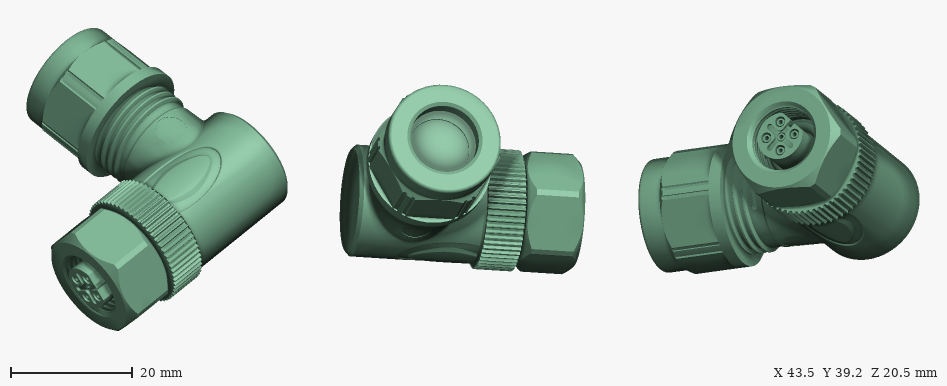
import cadquery as cq
import math


gland_face_x = -33.45
hex_start_x = -29.5
flange_start_x = -20.45
flange_end_x = -18.4
neck_step_x = -12.35
neck_cone_length = 0.35
flange_radius = 10.25
cap_radius = 9.42
cap_fillet = 0.5
hex_chamfer = flange_radius - cap_radius
neck_radius = 7.7
branch_radius = 7.9
branch_root_radius = 8.25

corner_land = 0.95
corner_groove_floor = 0.48
corner_groove_mouth = 0.8
corner_groove_depth = 0.25

entry_mouth_radius = 6.3
entry_radius = 5.75
entry_chamfer_depth = 0.35
entry_lip_depth = 2.85
entry_chamber_radius = 7.4
entry_chamber_depth = 5.2
seal_hole_radius = 5.1
seal_hole_depth = 0.25

gland_pitch = 1.5
gland_thread_radius = 8.4
gland_thread_start_x = -19.45
gland_thread_end_x = -13.65
gland_thread_base = 0.95
gland_thread_crest = 0.3

body_radius = 9.2
body_top_y = 9.42
body_bottom_y = -11.5
body_chamfer = 0.65
branch_fillet = 0.65
pad_x = -9.05
pad_radius = 2.5
pad_depth = 0.1
badge_recess_y = -7.75
badge_recess_half_length = 9.2
badge_recess_half_width = 5.3
badge_recess_narrowing = 1.3
badge_plate_y = -6.95
badge_plate_half_length = 6.4
badge_plate_half_width = 2.1
badge_depth = 0.25
badge_rim_fillet = 0.2
badge_plate_spread = 3.05
badge_reach = 2.15

knurl_start_y = -11.95
knurl_end_y = -18.25
knurl_radius = 10.0
knurl_root_radius = 9.55
knurl_count = 60
knurl_base = 0.65
knurl_tip = 0.17
upper_collar_radius = 8.9
lower_collar_radius = 6.7

nut_start_y = -18.65
nut_end_y = -28.3
nut_flats = 17.8
nut_corner_radius = 10.0
nut_chamfer = 1.3
nut_bore_radius = 5.5
nut_mouth_radius = 6.15
nut_bore_end_y = -20.85
nut_pitch = 1.0
nut_thread_radius = 6.0
nut_thread_base = 0.8
nut_thread_crest = 0.15

insert_face_y = -28.9
insert_radius = 4.0
insert_flat = 3.13
seal_ring_radius = 4.15
seal_ring_section = 0.82
contact_circle = 2.47
contact_mouth_radius = 0.9
centre_mouth_radius = 0.8
contact_radius = 0.65
contact_bore_radius = 0.4
contact_recess = 0.2
contact_depth = 1.75
cross_half_width = 0.48
cross_reach = 2.65
cross_fillet = 0.65
cross_depth = 0.5

overlap = 0.2
rim_tolerance = 0.005


def turned_x(points):
    """Solid turned about X from (x, radius) points."""
    return cq.Workplane("XY").polyline(points).close().revolve(360, (0, 0, 0), (1, 0, 0))


def turned_y(points):
    """Solid turned about Y from (radius, y) points."""
    return cq.Workplane("XY").polyline(points).close().revolve(360, (0, 0, 0), (0, 1, 0))


def across_corners(flats):
    """Corner-to-corner size of a hexagon from its size across flats."""
    return flats / math.cos(math.pi / 6)


def cylinder_x(radius, start, end):
    """Cylinder about X between two stations."""
    return cq.Workplane("YZ", origin=(start, 0, 0)).circle(radius).extrude(end - start)


def cylinder_y(radius, start, end):
    """Cylinder about Y between two stations."""
    return turned_y([(0, start), (radius, start), (radius, end), (0, end)])


def thread_ridge(root, crest_radius, base, crest, pitch, length):
    """Right-handed helical ridge rising along Z, starting on the +X side."""
    sunk_root = root - overlap / 2
    path = cq.Workplane(obj=cq.Wire.makeHelix(pitch, length, sunk_root))
    profile = [
        (sunk_root, -base / 2),
        (crest_radius, -crest / 2),
        (crest_radius, crest / 2),
        (sunk_root, base / 2),
    ]
    return cq.Workplane("XZ").polyline(profile).close().sweep(path, isFrenet=True)


def branch_cone(inset):
    """Gland branch widening slightly from the neck to the plug axis, shrunk by the inset."""
    start_x = neck_step_x + neck_cone_length
    start_radius = branch_radius - inset
    end_radius = branch_root_radius - inset
    return turned_x([(start_x, 0), (start_x, start_radius), (0, end_radius), (0, 0)])


def make_housing():
    """Plug body and gland branch, blended where they meet."""
    body = cylinder_y(body_radius, body_bottom_y, body_top_y)
    housing = body.union(branch_cone(0))
    seam = housing.edges().filter(lambda edge: edge.geomType() not in ("LINE", "CIRCLE"))
    housing = cq.Workplane(obj=seam.fillet(branch_fillet).val())
    return housing.faces(">Y").edges().chamfer(body_chamfer)


def make_pads():
    """Shallow round marks above and below the gland branch."""
    disc = cq.Workplane("XY").center(pad_x, 0).circle(pad_radius).extrude(2 * flange_radius, both=True)
    return disc.cut(branch_cone(pad_depth))


def oval_frustum(middle_y, half_width, half_length, spread):
    """Oval block reaching down from the body top; a positive spread widens its base."""
    return (
        cq.Workplane("XY", origin=(0, middle_y, body_radius))
        .ellipse(half_width, half_length)
        .workplane(offset=-badge_reach)
        .ellipse(half_width + spread, half_length + spread)
        .loft(ruled=True)
    )


def make_badges():
    """Oval recesses round a raised plate, above and below the body, open at the lower end."""
    recess = oval_frustum(
        badge_recess_y, badge_recess_half_width, badge_recess_half_length, -badge_recess_narrowing
    )
    plate = oval_frustum(badge_plate_y, badge_plate_half_width, badge_plate_half_length, badge_plate_spread)
    floor = cylinder_y(body_radius - badge_depth, 2 * body_bottom_y, body_top_y)
    badge = recess.cut(floor).cut(plate)
    return badge.union(badge.mirror("XY"))


def round_badge_rims(housing):
    """Round the oval rims lying on the body surface, leaving the open lower end sharp."""

    def is_rim(edge):
        start = edge.startPoint()
        on_surface = abs(math.hypot(start.x, start.z) - body_radius) < rim_tolerance
        beside_branch = abs(edge.Center().x) > badge_recess_half_width
        at_lower_end = edge.Center().y < body_bottom_y + rim_tolerance
        is_oval = edge.geomType() not in ("LINE", "CIRCLE")
        return is_oval and on_surface and not beside_branch and not at_lower_end

    return cq.Workplane(obj=housing.edges().filter(is_rim).fillet(badge_rim_fillet).val())


def make_gland_nut():
    """Hexagonal gland nut with rounded corners, a plain cap and a flange."""
    turned = turned_x(
        [
            (hex_start_x, 0),
            (hex_start_x, cap_radius),
            (hex_start_x + hex_chamfer, flange_radius),
            (flange_start_x, flange_radius),
            (flange_start_x, 0),
        ]
    )
    hexagon = (
        cq.Workplane("YZ", origin=(hex_start_x, 0, 0))
        .polygon(6, across_corners(2 * cap_radius))
        .extrude(flange_start_x - hex_start_x)
    )
    grip = turned.intersect(hexagon)
    groove_floor = flange_radius - corner_groove_depth
    for corner in range(6):
        for side in (-1, 1):
            groove = (
                cq.Workplane("YZ", origin=(hex_start_x, 0, 0))
                .moveTo(flange_radius, side * corner_land / 2)
                .lineTo(groove_floor, side * corner_land / 2)
                .lineTo(groove_floor, side * (corner_land / 2 + corner_groove_floor))
                .lineTo(flange_radius, side * (corner_land / 2 + corner_groove_mouth))
                .close()
                .extrude(flange_start_x - hex_start_x)
            )
            grip = grip.cut(groove.rotate((0, 0, 0), (1, 0, 0), 60 * corner))
    cap = cylinder_x(cap_radius, gland_face_x, hex_start_x).faces("<X").edges().fillet(cap_fillet)
    flange = cylinder_x(flange_radius, flange_start_x, flange_end_x)
    return grip.union(cap).union(flange)


def make_cable_entry():
    """Chamfered lip opening into a wider chamber, with a shallow round hole in its floor."""
    lip_end_x = gland_face_x + entry_lip_depth
    chamber_end_x = gland_face_x + entry_chamber_depth
    hole_end_x = chamber_end_x + seal_hole_depth
    return turned_x(
        [
            (gland_face_x, 0),
            (gland_face_x, entry_mouth_radius),
            (gland_face_x + entry_chamfer_depth, entry_radius),
            (lip_end_x, entry_radius),
            (lip_end_x, entry_chamber_radius),
            (chamber_end_x, entry_chamber_radius),
            (chamber_end_x, seal_hole_radius),
            (hole_end_x, seal_hole_radius),
            (hole_end_x, 0),
        ]
    )


def make_threaded_neck():
    """Plain neck stepping up to the gland branch, with the exposed turns of the gland thread."""
    cone_end_x = neck_step_x + neck_cone_length
    neck = turned_x(
        [
            (flange_end_x, 0),
            (flange_end_x, neck_radius),
            (neck_step_x, neck_radius),
            (cone_end_x, branch_radius),
            (cone_end_x, 0),
        ]
    )
    ridge = thread_ridge(
        neck_radius,
        gland_thread_radius,
        gland_thread_base,
        gland_thread_crest,
        gland_pitch,
        gland_thread_end_x - gland_thread_start_x,
    )
    ridge = ridge.rotate((0, 0, 0), (0, 1, 0), 90).translate((gland_thread_start_x, 0, 0))
    ridge = ridge.cut(cylinder_x(2 * flange_radius, gland_face_x, flange_end_x))
    return neck.union(ridge)


def make_knurled_ring():
    """Ring with straight tapered teeth, between two plain collars."""
    points = []
    for tooth in range(knurl_count):
        middle = 2 * math.pi * tooth / knurl_count
        for radius, offset in (
            (knurl_root_radius, -knurl_base / 2),
            (knurl_radius, -knurl_tip / 2),
            (knurl_radius, knurl_tip / 2),
            (knurl_root_radius, knurl_base / 2),
        ):
            angle = middle + offset / radius
            points.append((radius * math.cos(angle), radius * math.sin(angle)))
    ring = (
        cq.Workplane("XZ", origin=(0, knurl_start_y, 0))
        .polyline(points)
        .close()
        .extrude(knurl_start_y - knurl_end_y)
    )
    upper_collar = cylinder_y(upper_collar_radius, knurl_start_y, body_bottom_y)
    lower_collar = cylinder_y(lower_collar_radius, nut_start_y, knurl_end_y)
    return ring.union(upper_collar).union(lower_collar)


def make_coupling_nut():
    """Hexagonal nut with flattened corners, chamfered ends and an internal thread."""
    length = nut_start_y - nut_end_y
    base = cq.Workplane("XZ", origin=(0, nut_start_y, 0))
    nut = base.polygon(6, across_corners(nut_flats)).extrude(length)
    corner_trim = base.polygon(6, 2 * nut_corner_radius, circumscribed=True).extrude(length)
    nut = nut.intersect(corner_trim)
    end_radius = nut_corner_radius - nut_chamfer
    half_length = length / 2
    wide_radius = end_radius + half_length
    nut = nut.intersect(
        turned_y(
            [
                (0, nut_start_y),
                (end_radius, nut_start_y),
                (wide_radius, nut_start_y - half_length),
                (end_radius, nut_end_y),
                (0, nut_end_y),
            ]
        )
    )
    mouth_depth = nut_mouth_radius - nut_bore_radius
    nut = nut.cut(
        turned_y(
            [
                (0, nut_end_y),
                (nut_mouth_radius, nut_end_y),
                (nut_bore_radius, nut_end_y + mouth_depth),
                (nut_bore_radius, nut_bore_end_y),
                (0, nut_bore_end_y),
            ]
        )
    )
    thread_length = nut_bore_end_y - nut_end_y - nut_pitch
    groove = thread_ridge(
        nut_bore_radius, nut_thread_radius, nut_thread_base, nut_thread_crest, nut_pitch, thread_length
    )
    groove = groove.rotate((0, 0, 0), (1, 0, 0), -90).translate((0, nut_end_y, 0))
    return nut.cut(groove)


def face_plane():
    """Workplane on the insert face, extruding away from the housing."""
    return cq.Workplane("XZ", origin=(0, insert_face_y, 0))


def make_contact_hole(x, z, mouth_radius):
    """Round clearance with a recessed hollow contact standing in it."""
    clearance = face_plane().center(x, z).circle(mouth_radius).extrude(-contact_depth)
    contact = (
        face_plane()
        .workplane(offset=-contact_recess)
        .center(x, z)
        .circle(contact_radius)
        .circle(contact_bore_radius)
        .extrude(contact_recess - contact_depth)
    )
    return clearance.cut(contact)


def make_insert():
    """Contact carrier with a coding flat, a cross recess, a keyway, five sockets and a sealing ring."""
    insert = cylinder_y(insert_radius, insert_face_y, nut_bore_end_y)
    flat_cut = (
        cq.Workplane("XY")
        .box(insert_radius, nut_bore_end_y - insert_face_y, 2 * insert_radius, centered=(False, False, True))
        .translate((insert_flat, insert_face_y, 0))
        .rotate((0, 0, 0), (0, 1, 0), -45)
    )
    insert = insert.cut(flat_cut)

    arm_length = cross_reach + cross_half_width
    arms = face_plane().slot2D(2 * arm_length, 2 * cross_half_width, 45).extrude(-cross_depth)
    arms = arms.union(face_plane().slot2D(2 * arm_length, 2 * cross_half_width, -45).extrude(-cross_depth))
    inner_corners = cq.selectors.BoxSelector(
        (-2 * cross_half_width, insert_face_y - overlap, -2 * cross_half_width),
        (2 * cross_half_width, nut_bore_end_y, 2 * cross_half_width),
    )
    arms = arms.edges("|Y").edges(inner_corners).fillet(cross_fillet)
    keyway = (
        face_plane()
        .center(cross_reach / math.sqrt(2), cross_reach / math.sqrt(2))
        .transformed(rotate=(0, 0, 45))
        .rect(2 * cross_half_width, 2 * cross_half_width)
        .extrude(insert_face_y - nut_bore_end_y)
    )
    insert = insert.cut(arms).cut(keyway)

    insert = insert.cut(make_contact_hole(0, 0, centre_mouth_radius))
    for x, z in ((1, 0), (0, 1), (-1, 0), (0, -1)):
        insert = insert.cut(make_contact_hole(x * contact_circle, z * contact_circle, contact_mouth_radius))

    seal_ring = (
        cq.Workplane("XY")
        .center(seal_ring_radius, nut_bore_end_y - seal_ring_section / 2)
        .circle(seal_ring_section)
        .revolve(360, (-seal_ring_radius, 0, 0), (-seal_ring_radius, 1, 0))
    )
    return insert.union(seal_ring)


housing = round_badge_rims(make_housing().cut(make_badges())).cut(make_pads())
plug = make_knurled_ring().union(make_coupling_nut()).union(make_insert())
gland_nut = make_gland_nut()
result = housing.union(make_threaded_neck()).union(plug).union(gland_nut).cut(make_cable_entry())